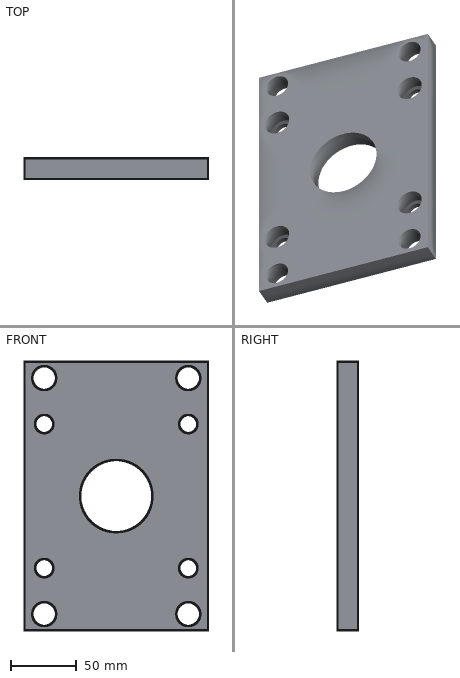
import cadquery as cq

width = 140.0
thickness = 16.0
height = 205.0

bore_diameter = 55.0
inner_hole_diameter = 13.7
outer_hole_diameter = 18.0
hole_spacing_x = 109.9
inner_hole_spacing_z = hole_spacing_x
outer_hole_spacing_z = 180.0

counterbore_diameter = 20.0
counterbore_floor = 4.0
counterbore_depth = thickness - counterbore_floor


def back_plane(body):
    """Workplane centred on the back face."""
    return body.faces(">Y").workplane(centerOption="CenterOfBoundBox")


def hole_centres(body, spacing_z):
    """Corners of a centred rectangle on the back face."""
    return back_plane(body).rect(hole_spacing_x, spacing_z, forConstruction=True).vertices()


plate = cq.Workplane("XY").box(width, thickness, height)
plate = back_plane(plate).hole(bore_diameter)
plate = hole_centres(plate, outer_hole_spacing_z).hole(outer_hole_diameter)
result = hole_centres(plate, inner_hole_spacing_z).cboreHole(
    inner_hole_diameter, counterbore_diameter, counterbore_depth
)